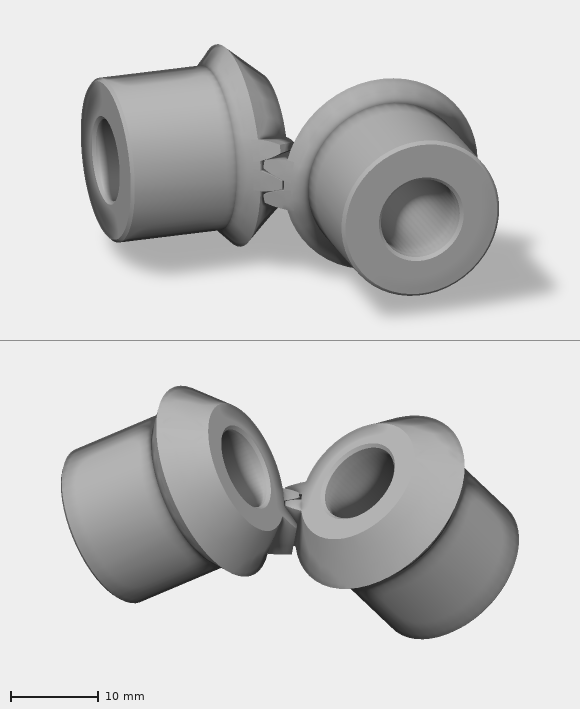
import cadquery as cq


overall_length = 40.25
rim_radius = 11.68
hub_radius = 9.5
bore_radius = 4.75
face_radius = 7.8
tip_radius = 13.6
lower_radius = 12.3
middle_radius = (lower_radius + tip_radius) / 2
chamfer = 0.35
hub_length = 12.65
tooth_count = 20

root_half_width = 1.25
lower_half_width = 1.1
middle_half_width = 0.85
tip_half_width = 0.5

hub_end = overall_length - rim_radius
hub_shoulder = hub_end - hub_length
rim_distance = hub_shoulder - (rim_radius - hub_radius)
face_distance = rim_distance * face_radius / rim_radius
tip_distance = rim_distance - (tip_radius - rim_radius)

root_slope = rim_radius / rim_distance
tip_slope = tip_radius / tip_distance

small_tip_distance = (face_radius + face_distance) / (1 + tip_slope)
small_tip_radius = tip_slope * small_tip_distance

tooth_pitch = 360 / tooth_count
core_radius = (bore_radius + face_radius) / 2
sunk_ratio = 0.9
overshoot_ratio = 1.1


def turned_ring(profile):
    """Ring about Z from (radius, axial distance) points, with its seam away from the teeth."""
    ring = cq.Workplane("XZ").polyline(profile).close().revolve(360, (0, 0), (0, 1))
    return ring.rotate((0, 0, 0), (0, 0, 1), 180)


def gear_blank():
    """Hub, back cone and root cone turned about Z, with a chamfered bore."""
    profile = [
        (bore_radius + chamfer, face_distance),
        (face_radius, face_distance),
        (rim_radius, rim_distance),
        (hub_radius, hub_shoulder),
        (hub_radius, hub_end - chamfer),
        (hub_radius - chamfer, hub_end),
        (bore_radius + chamfer, hub_end),
        (bore_radius, hub_end - chamfer),
        (bore_radius, face_distance + chamfer),
    ]
    return turned_ring(profile)


def tooth_envelope(flat_end):
    """Ring that bounds a tooth; its small end is flat with the face or conical."""
    if flat_end:
        small_end = [(tip_slope * face_distance, face_distance)]
    else:
        small_end = [(face_radius, face_distance), (small_tip_radius, small_tip_distance)]
    profile = [
        (core_radius, face_distance),
        *small_end,
        (tip_radius, tip_distance),
        (hub_radius, hub_shoulder),
        (core_radius, hub_shoulder),
    ]
    return turned_ring(profile)


def section_point(radius, half_width, distance):
    """Scale a large-end point (on the back cone) to the section at an axial distance."""
    scale = distance / (rim_distance + rim_radius - radius)
    return (radius * scale, half_width * scale)


def mirrored(point):
    """Matching point on the other flank."""
    return (point[0], -point[1])


def tooth_section(distance):
    """Cross-section of the tapered tooth at an axial distance from the apex."""
    root = section_point(rim_radius, root_half_width, distance)
    lower = section_point(lower_radius, lower_half_width, distance)
    middle = section_point(middle_radius, middle_half_width, distance)
    tip = section_point(tip_radius, tip_half_width, distance)
    inside = (sunk_ratio * root[0], root[1])
    outside = (overshoot_ratio * tip[0], tip[1])
    return (
        cq.Workplane("XY", origin=(0, 0, distance))
        .moveTo(*mirrored(inside))
        .lineTo(*mirrored(root))
        .lineTo(*mirrored(lower))
        .threePointArc(mirrored(middle), mirrored(tip))
        .lineTo(*mirrored(outside))
        .lineTo(*outside)
        .lineTo(*tip)
        .threePointArc(middle, lower)
        .lineTo(*root)
        .lineTo(*inside)
        .close()
        .val()
    )


def tooth(angle, flat_end):
    """One tooth tapering towards the apex, turned to its angle about the axis."""
    sections = [tooth_section(small_tip_distance / 2), tooth_section(hub_shoulder)]
    taper = cq.Workplane(cq.Solid.makeLoft(sections, True))
    return taper.intersect(tooth_envelope(flat_end)).rotate((0, 0, 0), (0, 0, 1), angle)


def bevel_gear(first_tooth_angle):
    """Gear along +Z with its cone apex at the origin and its mate towards +X."""
    conical_tooth = tooth(first_tooth_angle, False)
    flat_tooth = tooth(first_tooth_angle + tooth_pitch, True)
    return gear_blank().union(conical_tooth, clean=False).union(flat_tooth, clean=False)


apex = (rim_radius, hub_end, 0)
front_plane = cq.Plane(origin=apex, xDir=(1, 0, 0), normal=(0, -1, 0))
side_plane = cq.Plane(origin=apex, xDir=(0, -1, 0), normal=(1, 0, 0))
front_gear = bevel_gear(0).val().moved(cq.Location(front_plane))
side_gear = bevel_gear(-tooth_pitch / 2).val().moved(cq.Location(side_plane))

result = cq.Compound.makeCompound([*front_gear.Solids(), *side_gear.Solids()])